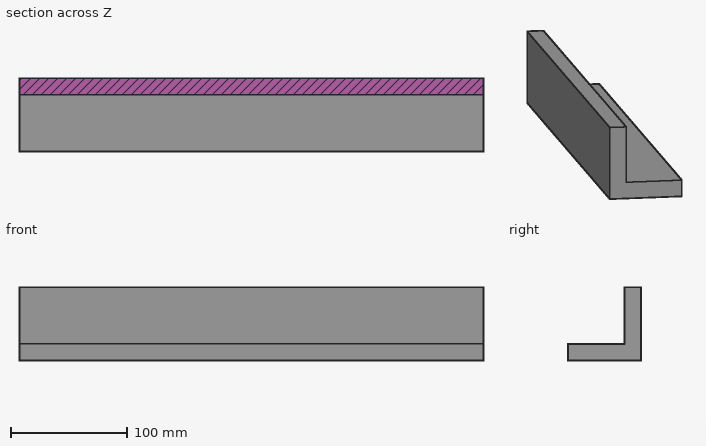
import cadquery as cq

length = 400.0
leg = 63.0
thickness = 14.5

base_leg = cq.Workplane("XY").box(length, leg, thickness, centered=False)
upright_leg = (
    cq.Workplane("XY")
    .box(length, thickness, leg, centered=False)
    .translate((0, leg - thickness, 0))
)

result = base_leg.union(upright_leg).clean()